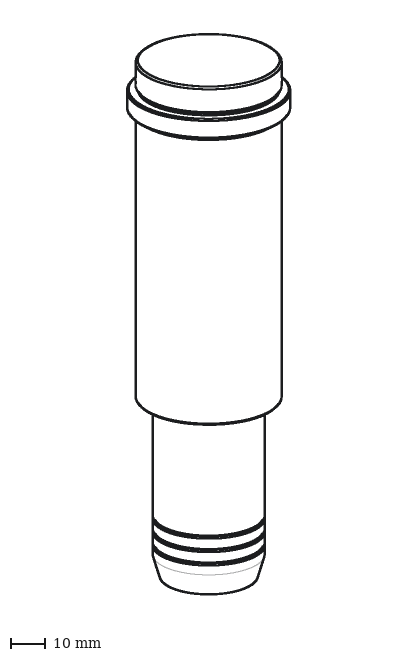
import cadquery as cq

total_height = 160.0

body_diameter = 42.0
body_bottom = 55.2
body_chamfer = 0.6

collar_diameter = 47.0
collar_bottom = 145.0
collar_top = 151.0
collar_chamfer = 0.5
neck_diameter = 40.8
neck_width = 0.6

shank_diameter = 32.3
shank_chamfer = 0.6
shank_neck_width = 0.3

groove_width = 1.0
groove_depth = 0.5
first_groove_height = 10.4
groove_pitch = 4.2
groove_count = 3

lead_in_height = 7.0
tip_diameter = 28.2
tip_fillet = 0.6


def cylinder(diameter, bottom, top):
    """Solid cylinder on the Z axis between two heights."""
    return cq.Workplane("XY").workplane(offset=bottom).circle(diameter / 2).extrude(top - bottom)


def chamfered_cylinder(diameter, bottom, top, chamfer):
    """Cylinder with both end edges chamfered."""
    return cylinder(diameter, bottom, top).faces("<Z or >Z").edges().chamfer(chamfer)


def lead_in():
    """Cone from the rounded tip up to the full shank diameter."""
    cone = (
        cq.Workplane("XY")
        .circle(tip_diameter / 2)
        .workplane(offset=lead_in_height)
        .circle(shank_diameter / 2)
        .loft(ruled=True)
    )
    return cone.faces("<Z").edges().fillet(tip_fillet)


def ring_groove(center_height):
    """Ring of triangular section that cuts one V groove into the shank."""
    radius = shank_diameter / 2
    return (
        cq.Workplane("XZ")
        .moveTo(radius, center_height - groove_width / 2)
        .lineTo(radius - groove_depth, center_height)
        .lineTo(radius, center_height + groove_width / 2)
        .close()
        .revolve(360, (0, 0, 0), (0, 1, 0))
    )


def shank():
    """Shank with a chamfered shoulder, a neck up to the body, a lead-in and grooves."""
    shoulder = body_bottom - shank_neck_width
    stem = cylinder(shank_diameter, lead_in_height, shoulder).faces(">Z").edges().chamfer(shank_chamfer)
    neck = cylinder(shank_diameter - 2 * shank_chamfer, shoulder, body_bottom)
    solid = stem.union(neck).union(lead_in())
    for index in range(groove_count):
        solid = solid.cut(ring_groove(first_groove_height + index * groove_pitch))
    return solid


body = chamfered_cylinder(body_diameter, body_bottom, collar_bottom - neck_width, body_chamfer)
collar = chamfered_cylinder(collar_diameter, collar_bottom, collar_top, collar_chamfer)
head = chamfered_cylinder(body_diameter, collar_top + neck_width, total_height, body_chamfer)
collar_neck = cylinder(neck_diameter, collar_bottom - neck_width, collar_top + neck_width)

result = shank().union(body).union(collar_neck).union(collar).union(head)